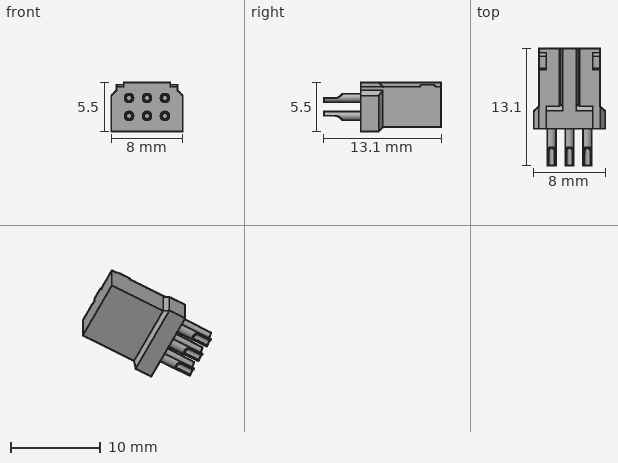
import cadquery as cq
import math

total_length = 13.1
total_height = 5.5
flange_width = 8.0

body_length = 9.0
body_width = 6.86
body_bottom = 0.5
deck_step = 0.5
deck_height = total_height - deck_step

flange_length = 2.5
flange_straight = 2.0
flange_corner_drop = 0.89
flange_side_top = 4.01

key_width = 5.24
rib_width = 1.49
key_head_length = flange_length - deck_step

groove_width = 0.42
groove_depth = 0.21

latch_height = 0.25
latch_front = 0.5
latch_top_front = 0.89
latch_top_rear = 2.2
latch_rear = 2.4

pin_pitch = 2.0
pin_columns = 3
pin_diameter = 1.0
cup_bore = 0.65
pin_length = total_length - body_length
pin_row_middle = total_height / 2
cup_flat_length = 1.2
cup_arc_radius = 1.0


def box(width, y_start, y_end, z_start, z_end):
    """Box centred on X = 0."""
    corner = (-width / 2, y_start, z_start)
    return cq.Workplane("XY").box(width, y_end - y_start, z_end - z_start, centered=False).translate(corner)


def side_prism(points, width):
    """Extrude a (Y, Z) outline symmetrically along X."""
    return cq.Workplane("YZ").polyline(points).close().extrude(width / 2, both=True)


def make_flange():
    """Common volume of the end, plan and side outlines, giving the sloped faces."""
    half_flange = flange_width / 2
    half_body = body_width / 2
    corner_height = total_height - flange_corner_drop
    end_outline = [
        (-half_flange, 0),
        (half_flange, 0),
        (half_flange, flange_side_top),
        (half_body, corner_height),
        (-half_body, corner_height),
        (-half_flange, flange_side_top),
    ]
    plan_outline = [
        (-half_flange, 0),
        (half_flange, 0),
        (half_flange, flange_straight),
        (half_body, flange_length),
        (-half_body, flange_length),
        (-half_flange, flange_straight),
    ]
    side_outline = [
        (0, 0),
        (flange_straight, 0),
        (flange_length, body_bottom),
        (flange_length, corner_height),
        (0, corner_height),
    ]
    end_prism = cq.Workplane("XZ").polyline(end_outline).close().extrude(-flange_length)
    plan_prism = cq.Workplane("XY").polyline(plan_outline).close().extrude(total_height)
    return end_prism.intersect(plan_prism).intersect(side_prism(side_outline, flange_width))


def make_key():
    """Central rib along the deck with a wide head whose far end slopes down into the deck."""
    groove_floor = deck_height - groove_depth
    head_outline = [
        (0, groove_floor),
        (flange_length + groove_depth, groove_floor),
        (key_head_length, total_height),
        (0, total_height),
    ]
    rib = box(rib_width, 0, body_length, groove_floor, total_height)
    return side_prism(head_outline, key_width).union(rib)


def make_groove(left_edge):
    """V-shaped cutter running the length of the deck."""
    outline = [
        (left_edge, deck_height),
        (left_edge + groove_width / 2, deck_height - groove_depth),
        (left_edge + groove_width, deck_height),
    ]
    return cq.Workplane("XZ").polyline(outline).close().extrude(-body_length)


def make_latches():
    """Two ramped bumps flush with the body sides."""
    outline = [
        (body_length - latch_front, deck_height),
        (body_length - latch_top_front, deck_height + latch_height),
        (body_length - latch_top_rear, deck_height + latch_height),
        (body_length - latch_rear, deck_height),
    ]
    between_latches = box(key_width, 0, body_length, deck_height, total_height)
    return side_prism(outline, body_width).cut(between_latches)


def make_pin():
    """Pin along -Y with a bored cup at the tip, its upper half scooped away."""
    radius = pin_diameter / 2
    pin = cq.Workplane("XZ").circle(radius).extrude(pin_length)
    bore = cq.Workplane("XZ").circle(cup_bore / 2).extrude(pin_length)
    tip = -pin_length
    flat_end = tip + cup_flat_length

    arc_angle = math.acos(1 - radius / cup_arc_radius)
    arc_end = (flat_end + cup_arc_radius * math.sin(arc_angle), radius)
    arc_middle = (
        flat_end + cup_arc_radius * math.sin(arc_angle / 2),
        cup_arc_radius * (1 - math.cos(arc_angle / 2)),
    )
    scoop = (
        cq.Workplane("YZ")
        .moveTo(tip, 0)
        .lineTo(flat_end, 0)
        .threePointArc(arc_middle, arc_end)
        .lineTo(tip, radius)
        .close()
        .extrude(radius, both=True)
    )
    return pin.cut(bore).cut(scoop)


body = box(body_width, 0, body_length, body_bottom, deck_height)
for groove_left_edge in (-rib_width / 2 - groove_width, rib_width / 2):
    body = body.cut(make_groove(groove_left_edge))
body = body.union(make_key()).union(make_flange()).union(make_latches())

upper_pin = make_pin()
lower_pin = upper_pin.mirror("XY")
result = body
for column in range(pin_columns):
    x = (column - (pin_columns - 1) / 2) * pin_pitch
    result = result.union(upper_pin.translate((x, 0, pin_row_middle + pin_pitch / 2)))
    result = result.union(lower_pin.translate((x, 0, pin_row_middle - pin_pitch / 2)))